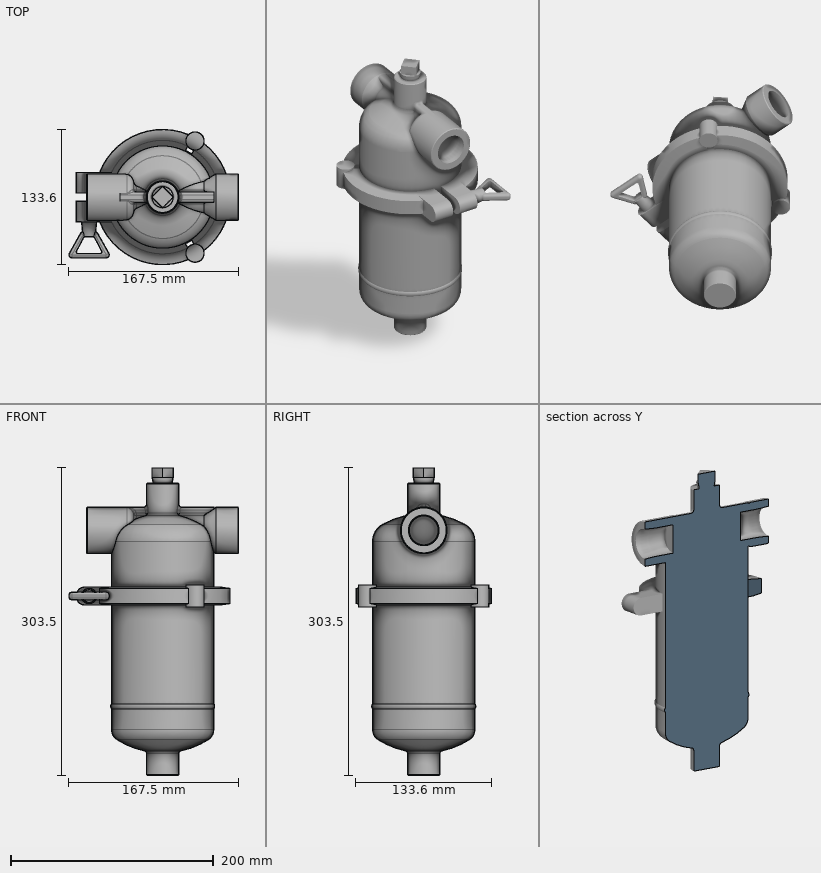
import cadquery as cq
import math


vessel_radius = 50.5
small_boss_radius = 16.0
boss_edge_chamfer = 0.8
upper_root_fillet = 2.8

upper_tangent_z = -10.8
upper_knuckle_radius = 19.0
upper_crown_start_radius = 40.9
upper_boss_top_z = 46.6

lower_tangent_z = -196.7
lower_knuckle_radius = 11.8
lower_crown_start_radius = 45.0
lower_boss_end_z = -241.8
lower_root_fillet = 2.5

bead_center_z = -173.7
bead_half_height = 2.5
bead_height = 0.9

plug_neck_bottom_radius = 9.4
plug_neck_top_radius = 10.4
plug_head_side = 15.0
plug_head_bottom_z = 52.2
plug_top_z = 61.7

pipe_radius = 23.0
pipe_end_x = 75.0
pipe_edge_chamfer = 0.8
socket_mouth_diameter = 30.3
socket_taper_depth = 14.3
bore_diameter = 28.57
bore_depth = 34.0
inlet_shoulder_start_x = -35.3
inlet_shoulder_radius = pipe_radius - small_boss_radius
inlet_shoulder_fillet = 3.0
outlet_cone_start_x = 41.0
outlet_cone_end_x = 52.8

rib_top_z = 23.0
rib_width = 10.5
rib_top_round = 3.1
rib_inlet_end_x = -42.0
rib_outlet_end_x = 50.8
rib_root_fillet = 2.7
rib_boss_fillet = 3.0

clamp_z = -64.8
clamp_height = 18.0
clamp_rim_height = 15.0
clamp_outer_radius = 66.82
clamp_flat_radius = 56.1
hinge_radius_from_axis = 64.0
hinge_angle = 60.0
hinge_diameter = 18.0
hinge_height = 22.0
hinge_gap = 7.0
lug_inner_y = 4.0
lug_outer_y = 24.4
lug_center_x = -76.5

handle_x = -72.6
handle_base_half_width = 22.2
handle_top_half_width = 7.5
handle_base_y = -60.2
handle_top_y = -34.0
handle_thickness = 7.6
handle_corner_round = 3.2
handle_edge_round = 3.0
opening_base_y = -55.6
opening_top_y = -39.4
opening_base_half_width = 13.5
opening_top_half_width = 5.0
opening_corner_round = 1.5
shaft_root_radius = 7.6
shaft_tip_radius = 6.2
shaft_tip_y = -38.8


def head_points(knuckle_radius, crown_start_radius):
    """Middle and end of a knuckle arc, then middle and apex of the crown, as (r, height above tangent)."""
    knuckle_center = vessel_radius - knuckle_radius
    sweep = math.acos((crown_start_radius - knuckle_center) / knuckle_radius)
    knuckle_end_height = knuckle_radius * math.sin(sweep)
    crown_half_angle = math.pi / 2 - sweep
    crown_radius = crown_start_radius / math.sin(crown_half_angle)
    crown_center = knuckle_end_height - crown_radius * math.cos(crown_half_angle)
    return [
        (knuckle_center + knuckle_radius * math.cos(sweep / 2), knuckle_radius * math.sin(sweep / 2)),
        (crown_start_radius, knuckle_end_height),
        (
            crown_radius * math.sin(crown_half_angle / 2),
            crown_center + crown_radius * math.cos(crown_half_angle / 2),
        ),
        (0, crown_center + crown_radius),
    ]


def make_shell():
    """Domed cylinder with its weld bead and the end bosses."""
    upper = [(r, upper_tangent_z + h) for r, h in head_points(upper_knuckle_radius, upper_crown_start_radius)]
    lower = [(r, lower_tangent_z - h) for r, h in head_points(lower_knuckle_radius, lower_crown_start_radius)]
    shell = (
        cq.Workplane("XZ")
        .moveTo(*lower[3])
        .threePointArc(lower[2], lower[1])
        .threePointArc(lower[0], (vessel_radius, lower_tangent_z))
        .lineTo(vessel_radius, bead_center_z - bead_half_height)
        .threePointArc(
            (vessel_radius + bead_height, bead_center_z), (vessel_radius, bead_center_z + bead_half_height)
        )
        .lineTo(vessel_radius, upper_tangent_z)
        .threePointArc(upper[0], upper[1])
        .threePointArc(upper[2], upper[3])
        .close()
        .revolve(360, (0, 0, 0), (0, 1, 0))
    )
    upper_boss = (
        cq.Workplane("XY").circle(small_boss_radius).extrude(upper_boss_top_z)
        .faces(">Z").chamfer(boss_edge_chamfer)
    )
    lower_boss = (
        cq.Workplane("XY", origin=(0, 0, lower_tangent_z))
        .circle(small_boss_radius)
        .extrude(lower_boss_end_z - lower_tangent_z)
        .faces("<Z").chamfer(boss_edge_chamfer)
    )
    shell = shell.union(upper_boss).union(lower_boss)
    upper_root = cq.selectors.BoxSelector((-17, -17, 5), (17, 17, 30))
    lower_root = cq.selectors.BoxSelector((-17, -17, -230), (17, 17, -205))
    return shell.edges(upper_root).fillet(upper_root_fillet).edges(lower_root).fillet(lower_root_fillet)


def make_plug():
    """Neck widening upward and a square head set corner-on to the X and Y axes."""
    neck = cq.Workplane(
        cq.Solid.makeCone(
            plug_neck_bottom_radius, plug_neck_top_radius, plug_head_bottom_z - upper_boss_top_z,
            cq.Vector(0, 0, upper_boss_top_z),
        )
    )
    head = (
        cq.Workplane("XY", origin=(0, 0, plug_head_bottom_z))
        .transformed(rotate=(0, 0, 45))
        .rect(plug_head_side, plug_head_side)
        .extrude(plug_top_z - plug_head_bottom_z)
    )
    return neck.union(head)


def make_pipes():
    """Inlet and outlet on one axis: full-size ends stepping down to the narrow neck."""
    lean = math.asin(inlet_shoulder_fillet / (inlet_shoulder_radius + inlet_shoulder_fillet))
    fillet_center_x = inlet_shoulder_start_x + (inlet_shoulder_radius + inlet_shoulder_fillet) * math.cos(lean)
    fillet_center_r = small_boss_radius + inlet_shoulder_fillet
    middle_angle = (math.pi / 2 + lean) / 2

    def on_shoulder(angle):
        return (
            inlet_shoulder_start_x + inlet_shoulder_radius * math.cos(angle),
            small_boss_radius + inlet_shoulder_radius * math.sin(angle),
        )

    def on_fillet(angle):
        return (
            fillet_center_x - inlet_shoulder_fillet * math.cos(angle),
            fillet_center_r - inlet_shoulder_fillet * math.sin(angle),
        )

    return (
        cq.Workplane("XY")
        .moveTo(-pipe_end_x, 0)
        .lineTo(-pipe_end_x, pipe_radius - pipe_edge_chamfer)
        .lineTo(-pipe_end_x + pipe_edge_chamfer, pipe_radius)
        .lineTo(inlet_shoulder_start_x, pipe_radius)
        .threePointArc(on_shoulder(middle_angle), on_shoulder(lean))
        .threePointArc(on_fillet(middle_angle), on_fillet(math.pi / 2))
        .lineTo(outlet_cone_start_x, small_boss_radius)
        .lineTo(outlet_cone_end_x, pipe_radius)
        .lineTo(pipe_end_x - pipe_edge_chamfer, pipe_radius)
        .lineTo(pipe_end_x, pipe_radius - pipe_edge_chamfer)
        .lineTo(pipe_end_x, 0)
        .close()
        .revolve(360, (0, 0, 0), (1, 0, 0))
    )


def make_rib():
    """Straight rib along the pipe axis with a rounded top."""
    return (
        cq.Workplane("YZ", origin=(rib_inlet_end_x, 0, rib_top_z / 2))
        .rect(rib_width, rib_top_z)
        .extrude(rib_outlet_end_x - rib_inlet_end_x)
        .edges("|X and >Z")
        .fillet(rib_top_round)
    )


def make_sockets():
    """Tapered mouth and blind straight bore, alike at both pipe ends."""
    inlet = (
        cq.Workplane("XY")
        .polyline([
            (-pipe_end_x, 0),
            (-pipe_end_x, socket_mouth_diameter / 2),
            (-pipe_end_x + socket_taper_depth, bore_diameter / 2),
            (-pipe_end_x + bore_depth, bore_diameter / 2),
            (-pipe_end_x + bore_depth, 0),
        ])
        .close()
        .revolve(360, (0, 0, 0), (1, 0, 0))
    )
    return inlet.union(inlet.mirror("YZ"))


def make_boss_corners():
    """Boss and rib with the corners between them filleted."""
    boss = cq.Workplane("XY").circle(small_boss_radius).extrude(upper_boss_top_z - boss_edge_chamfer)
    joined = boss.union(make_rib())
    inner = small_boss_radius - 2
    outer = small_boss_radius + 0.5
    half_width = rib_width / 2 + 0.5
    for low, high in ((-outer, -inner), (inner, outer)):
        corner = cq.selectors.BoxSelector((low, -half_width, 1), (high, half_width, rib_top_z + 1))
        joined = joined.edges(corner).fillet(rib_boss_fillet)
    return joined


def make_vessel():
    """Shell, pipes, rib and plug as one solid, with the pipe ends bored."""
    pipes = make_pipes().union(make_rib())
    rib_root = cq.selectors.BoxSelector((rib_inlet_end_x, -6, 14), (rib_outlet_end_x, 6, 16))
    pipes = pipes.edges("|X").edges(rib_root).fillet(rib_root_fillet)
    body = make_shell().union(pipes).union(make_boss_corners())
    return body.union(make_plug()).cut(make_sockets())


def make_handle():
    """Tapered shaft and a rounded triangular grip lying in the clamp's mid-plane."""
    shaft = cq.Workplane(
        cq.Solid.makeCone(
            shaft_root_radius, shaft_tip_radius, -lug_outer_y - shaft_tip_y,
            cq.Vector(handle_x, -lug_outer_y, clamp_z), cq.Vector(0, -1, 0),
        )
    )
    base = cq.Workplane("XY", origin=(handle_x, 0, clamp_z))
    grip = (
        base.polyline([
            (-handle_base_half_width, handle_base_y),
            (handle_base_half_width, handle_base_y),
            (handle_top_half_width, handle_top_y),
            (-handle_top_half_width, handle_top_y),
        ])
        .close()
        .extrude(handle_thickness / 2, both=True)
        .edges("|Z").fillet(handle_corner_round)
        .faces("<Z or >Z").edges().fillet(handle_edge_round)
    )
    opening = (
        base.polyline([
            (-opening_base_half_width, opening_base_y),
            (opening_base_half_width, opening_base_y),
            (opening_top_half_width, opening_top_y),
            (-opening_top_half_width, opening_top_y),
        ])
        .close()
        .extrude(handle_thickness, both=True)
        .edges("|Z").fillet(opening_corner_round)
    )
    return shaft.union(grip).cut(opening)


def at_clamp(shape, x):
    """Move a centred shape to the given X on the clamp's mid-plane."""
    return shape.translate((x, 0, clamp_z))


def make_clamp():
    """Ring with sloping rims, slit between two lugs, hinged at two pins, with its handle."""
    half_height = clamp_height / 2
    half_rim = clamp_rim_height / 2
    ring = (
        cq.Workplane("XZ", origin=(0, 0, clamp_z))
        .polyline([
            (vessel_radius, -half_height),
            (clamp_flat_radius, -half_height),
            (clamp_outer_radius, -half_rim),
            (clamp_outer_radius, half_rim),
            (clamp_flat_radius, half_height),
            (vessel_radius, half_height),
        ])
        .close()
        .revolve(360, (0, 0, 0), (0, 1, 0))
    )
    lug_width = 2 * lug_outer_y
    lugs = at_clamp(cq.Workplane("XY").box(-lug_center_x, lug_width, clamp_height), lug_center_x / 2)
    barrel = at_clamp(cq.Workplane("XZ").cylinder(lug_width, half_height), lug_center_x)
    bore = at_clamp(cq.Workplane("XY").cylinder(hinge_height, vessel_radius), 0)
    slit_length = -2 * lug_center_x
    slit = at_clamp(cq.Workplane("XY").box(slit_length, 2 * lug_inner_y, hinge_height), -slit_length / 2)
    clamp = ring.union(lugs).union(barrel).cut(bore).cut(slit)
    gap = at_clamp(cq.Workplane("XY").box(2 * hinge_diameter, hinge_gap, hinge_height), hinge_radius_from_axis)
    pin = at_clamp(cq.Workplane("XY").cylinder(hinge_height, hinge_diameter / 2), hinge_radius_from_axis)
    for angle in (-hinge_angle, hinge_angle):
        clamp = clamp.cut(gap.rotate((0, 0, 0), (0, 0, 1), angle))
        clamp = clamp.union(pin.rotate((0, 0, 0), (0, 0, 1), angle))
    return clamp.union(make_handle())


vessel = make_vessel()
clamp = make_clamp()
result = cq.Compound.makeCompound([vessel.val(), clamp.val()])